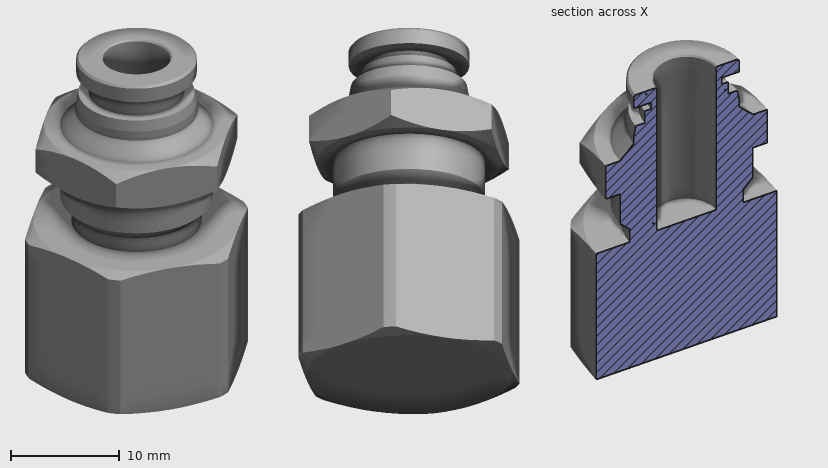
import cadquery as cq
import math

BODY_HEX_HEIGHT = 15.0
RELIEF_HEIGHT = 1.5
SHANK_TAPER_HEIGHT = 1.05
SHANK_HEIGHT = 3.5
NUT_HEIGHT = 4.0
CONE_HEIGHT = 1.5
HEAD_BAND_HEIGHT = 0.95
HEAD_TAPER_HEIGHT = 1.05
GUIDE_HEIGHT = 1.4
NECK_HEIGHT = 0.7
COLLAR_HEIGHT = 1.6

RELIEF_DIAMETER = 12.0
SHANK_DIAMETER = 14.0
HEAD_DIAMETER = 11.1
HEAD_TOP_DIAMETER = 10.7
GUIDE_DIAMETER = 8.8
NECK_DIAMETER = 7.5
COLLAR_DIAMETER = 11.1
COLLAR_CHAMFER = 0.2

HEX_SIDES = 6
HEX_HALF_ANGLE = math.pi / HEX_SIDES
BODY_ACROSS_FLATS = 19.0
BODY_CORNER_DIAMETER = 21.3
BODY_CHAMFER_ANGLE = 20.0
NUT_ACROSS_FLATS = 17.0
NUT_CORNER_DIAMETER = NUT_ACROSS_FLATS / math.cos(HEX_HALF_ANGLE)
NUT_CHAMFER_ANGLE = 30.0

BORE_DIAMETER = 6.2
BORE_CHAMFER = 0.15
BORE_DEPTH = 17.0

RELIEF_TOP = BODY_HEX_HEIGHT + RELIEF_HEIGHT
SHANK_BOTTOM = RELIEF_TOP + SHANK_TAPER_HEIGHT
NUT_BOTTOM = SHANK_BOTTOM + SHANK_HEIGHT
NUT_TOP = NUT_BOTTOM + NUT_HEIGHT
CONE_TOP = NUT_TOP + CONE_HEIGHT
HEAD_BAND_TOP = CONE_TOP + HEAD_BAND_HEIGHT
HEAD_TOP = HEAD_BAND_TOP + HEAD_TAPER_HEIGHT
GUIDE_TOP = HEAD_TOP + GUIDE_HEIGHT
COLLAR_BOTTOM = GUIDE_TOP + NECK_HEIGHT
TOTAL_HEIGHT = COLLAR_BOTTOM + COLLAR_HEIGHT


def revolve_profile(points):
    """Revolve a closed outline of (radius, height) points about the Z axis."""
    return cq.Workplane("XZ").polyline(points).close().revolve(360, (0, 0, 0), (0, 1, 0))


def chamfered_hexagon(across_flats, corner_diameter, chamfer_angle, bottom, height):
    """Hexagon whose corners are turned down to corner_diameter and chamfered at both ends."""
    flat_radius = across_flats / 2
    corner_radius = corner_diameter / 2
    sharp_diameter = across_flats / math.cos(HEX_HALF_ANGLE)
    chamfer_drop = (corner_radius - flat_radius) * math.tan(math.radians(chamfer_angle))
    top = bottom + height
    prism = (
        cq.Workplane("XY")
        .workplane(offset=bottom)
        .polygon(HEX_SIDES, sharp_diameter)
        .extrude(height)
    )
    envelope = revolve_profile([
        (0, bottom),
        (flat_radius, bottom),
        (corner_radius, bottom + chamfer_drop),
        (corner_radius, top - chamfer_drop),
        (flat_radius, top),
        (0, top),
    ])
    return prism.intersect(envelope)


def turned_core():
    """Round sections from the base up to the release collar."""
    relief_radius = RELIEF_DIAMETER / 2
    shank_radius = SHANK_DIAMETER / 2
    head_radius = HEAD_DIAMETER / 2
    guide_radius = GUIDE_DIAMETER / 2
    neck_radius = NECK_DIAMETER / 2
    collar_radius = COLLAR_DIAMETER / 2
    return revolve_profile([
        (0, 0),
        (relief_radius, 0),
        (relief_radius, RELIEF_TOP),
        (shank_radius, SHANK_BOTTOM),
        (shank_radius, NUT_TOP),
        (head_radius, CONE_TOP),
        (head_radius, HEAD_BAND_TOP),
        (HEAD_TOP_DIAMETER / 2, HEAD_TOP),
        (guide_radius, HEAD_TOP),
        (guide_radius, GUIDE_TOP),
        (neck_radius, GUIDE_TOP),
        (neck_radius, COLLAR_BOTTOM),
        (collar_radius, COLLAR_BOTTOM),
        (collar_radius, TOTAL_HEIGHT - COLLAR_CHAMFER),
        (collar_radius - COLLAR_CHAMFER, TOTAL_HEIGHT),
        (0, TOTAL_HEIGHT),
    ])


def tube_socket():
    """Blind bore with a small lead-in chamfer at its mouth."""
    bore_radius = BORE_DIAMETER / 2
    bore_floor = TOTAL_HEIGHT - BORE_DEPTH
    return revolve_profile([
        (0, bore_floor),
        (bore_radius, bore_floor),
        (bore_radius, TOTAL_HEIGHT - BORE_CHAMFER),
        (bore_radius + BORE_CHAMFER, TOTAL_HEIGHT),
        (0, TOTAL_HEIGHT),
    ])


body_hexagon = chamfered_hexagon(
    BODY_ACROSS_FLATS, BODY_CORNER_DIAMETER, BODY_CHAMFER_ANGLE, 0, BODY_HEX_HEIGHT
)
lock_nut = chamfered_hexagon(
    NUT_ACROSS_FLATS, NUT_CORNER_DIAMETER, NUT_CHAMFER_ANGLE, NUT_BOTTOM, NUT_HEIGHT
)
result = turned_core().union(body_hexagon).union(lock_nut).cut(tube_socket())